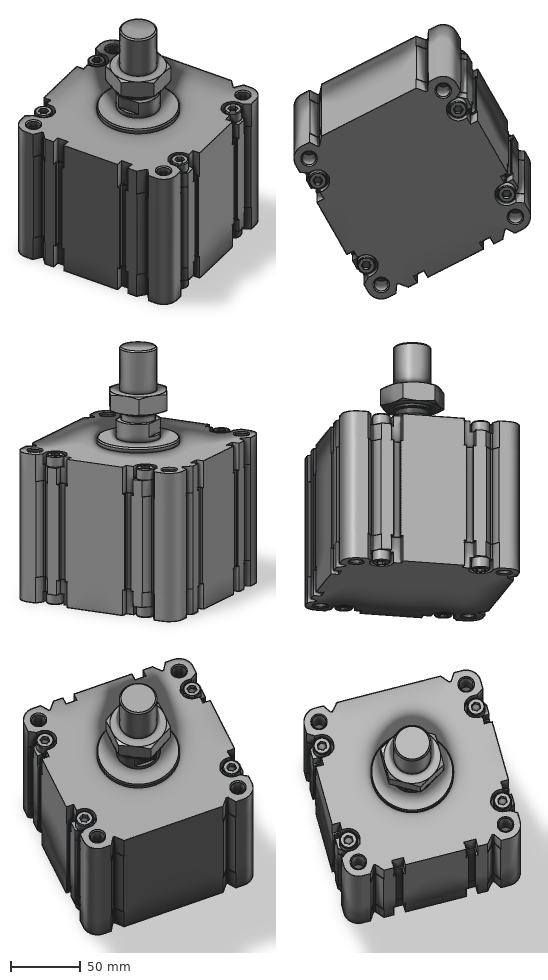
import cadquery as cq
import math


width = 132.0
half_width = width / 2
body_height = 111.3
bottom_cap_height = 19.2
top_cap_height = 20.1
top_seam = body_height - top_cap_height
barrel_height = top_seam - bottom_cap_height

mount_offset = 55.0
corner_radius = half_width - mount_offset
mount_diameter = 10.0
mount_chamfer = 1.0
mount_depth = 22.0

notch_depth = 5.5
notch_floor_outer = 45.0
notch_floor_inner = 43.7
notch_mouth_outer = 48.5
notch_mouth_inner = 39.2
cap_notch_clearance = 0.4

slot_offset = 27.0
cap_slot_width = 8.6
cap_slot_depth = 5.7
tee_mouth_width = 5.1
tee_width = 6.2
tee_depth = 4.5
tee_lip = 1.3

screw_x = 57.6
screw_y = 37.0
counterbore_width = 17.0
counterbore_depth = 8.0
screw_head_diameter = 13.0
screw_head_chamfer = 0.7
screw_hex_flats = 6.0
screw_hex_depth = 4.0

collar_diameter = 60.0
collar_height = 3.8
collar_chamfer = 0.7
collar_chamfer_height = 1.3

rod_top = 183.0
rod_diameter = 32.0
rod_shoulder = 128.6
flats_width = 27.0
flats_bottom = 118.5
neck_diameter = 24.9
thread_bottom = 133.8
thread_diameter = 27.0
thread_chamfer = (thread_diameter - neck_diameter) / 2

nut_bottom = 136.7
nut_height = 13.9
nut_flats = 41.0
nut_bevel_slope = math.tan(math.radians(20))

QUARTER_TURNS = (0, 90, 180, 270)
SLOTTED_SIDES = (0, 90, 270)
SIGNS = (-1, 1)


def corners(x, y):
    """The four points mirrored about both axes."""
    return [(sx * x, sy * y) for sx in SIGNS for sy in SIGNS]


def hexagon_across_flats(flats):
    """Circumscribed diameter of a regular hexagon."""
    return flats / math.cos(math.pi / 6)


def square_block(height):
    return (
        cq.Workplane("XY")
        .rect(width, width)
        .extrude(height)
        .edges("|Z")
        .fillet(corner_radius)
    )


def notch(side, clearance, height):
    """V notch in the -Y face on the given side of the centre (-1 or +1)."""
    face_y = -half_width
    floor_y = face_y + notch_depth + clearance
    points = [
        (side * (notch_mouth_outer + clearance), face_y),
        (side * notch_floor_outer, floor_y),
        (side * notch_floor_inner, floor_y),
        (side * (notch_mouth_inner - clearance), face_y),
    ]
    return cq.Workplane("XY").polyline(points).close().extrude(height)


def channel(side, slot_width, depth, height, start=0):
    """Rectangular channel in the -Y face, from the start depth to the full depth."""
    return (
        cq.Workplane("XY")
        .center(side * slot_offset, -half_width + (start + depth) / 2)
        .rect(slot_width, depth - start)
        .extrude(height)
    )


def turned(tool, angle):
    return tool.rotate((0, 0, 0), (0, 0, 1), angle)


def cut_notches(block, clearance, height):
    for angle in QUARTER_TURNS:
        for side in SIGNS:
            block = block.cut(turned(notch(side, clearance, height), angle))
    return block


def make_barrel():
    barrel = cut_notches(square_block(barrel_height), 0, barrel_height)
    for angle in SLOTTED_SIDES:
        for side in SIGNS:
            mouth = channel(side, tee_mouth_width, tee_depth, barrel_height)
            head = channel(side, tee_width, tee_depth, barrel_height, start=tee_lip)
            barrel = barrel.cut(turned(mouth, angle)).cut(turned(head, angle))
    return barrel.translate((0, 0, bottom_cap_height))


def counterbore(sx):
    """Round-ended pocket, standing on Z = 0, that runs out through the side face."""
    run_out = half_width - screw_x
    bore = cq.Workplane("XY").circle(counterbore_width / 2).extrude(counterbore_depth)
    opening = (
        cq.Workplane("XY")
        .center(sx * run_out / 2, 0)
        .rect(run_out, counterbore_width)
        .extrude(counterbore_depth)
    )
    return bore.union(opening)


def screw_head():
    """Socket head standing on the counterbore floor, level with the cap face."""
    return (
        cq.Workplane("XY")
        .circle(screw_head_diameter / 2)
        .extrude(counterbore_depth)
        .faces(">Z")
        .chamfer(screw_head_chamfer)
        .faces(">Z")
        .workplane()
        .transformed(rotate=(0, 0, 90))
        .polygon(6, hexagon_across_flats(screw_hex_flats))
        .cutBlind(-screw_hex_depth)
    )


def make_cap(cap_height):
    """End cap with its mating face at Z = 0 and its outer face upwards."""
    cap = cut_notches(square_block(cap_height), cap_notch_clearance, cap_height)
    for angle in SLOTTED_SIDES:
        for side in SIGNS:
            slot = channel(side, cap_slot_width, cap_slot_depth, cap_height)
            cap = cap.cut(turned(slot, angle))
    for sx, sy in corners(1, 1):
        seat = (sx * screw_x, sy * screw_y, cap_height - counterbore_depth)
        cap = cap.cut(counterbore(sx).translate(seat)).union(screw_head().translate(seat))
    return cap


def mounting_holes():
    """Blind chamfered holes going down from Z = 0."""
    holes = cq.Workplane("XY").pushPoints(corners(mount_offset, mount_offset))
    holes = holes.circle(mount_diameter / 2).extrude(-mount_depth)
    mouth = (
        cq.Workplane("XY")
        .circle(mount_diameter / 2 + mount_chamfer)
        .extrude(-mount_chamfer, taper=45)
    )
    for x, y in corners(mount_offset, mount_offset):
        holes = holes.union(mouth.translate((x, y, 0)))
    return holes


def collar():
    return (
        cq.Workplane("XY", origin=(0, 0, body_height))
        .circle(collar_diameter / 2)
        .extrude(collar_height)
        .faces(">Z")
        .edges()
        .chamfer(collar_chamfer_height, collar_chamfer)
    )


def make_housing():
    """Caps, barrel and collar in one solid, keeping the seams between them."""
    top_cap = make_cap(top_cap_height).translate((0, 0, top_seam))
    bottom_cap = make_cap(bottom_cap_height).mirror("XY").translate((0, 0, bottom_cap_height))
    housing = make_barrel().union(top_cap, clean=False).union(bottom_cap, clean=False)
    housing = housing.union(collar(), clean=False)

    holes = mounting_holes()
    housing = housing.cut(holes.translate((0, 0, body_height)), clean=False)
    housing = housing.cut(holes.mirror("XY"), clean=False)

    rod_bore = (
        cq.Workplane("XY", origin=(0, 0, top_seam))
        .circle(rod_diameter / 2)
        .extrude(top_cap_height + collar_height)
    )
    return housing.cut(rod_bore, clean=False)


def make_rod():
    """Stepped rod, starting at the upper cap seam, with wrench flats, relief neck and threaded end."""
    shank = (
        cq.Workplane("XY", origin=(0, 0, top_seam))
        .circle(rod_diameter / 2)
        .extrude(rod_shoulder - top_seam)
    )
    flat_depth = (rod_diameter - flats_width) / 2
    for side in SIGNS:
        flat = (
            cq.Workplane("XY", origin=(0, side * (flats_width + flat_depth) / 2, flats_bottom))
            .rect(rod_diameter, flat_depth)
            .extrude(rod_shoulder - flats_bottom)
        )
        shank = shank.cut(flat)
    neck = (
        cq.Workplane("XY", origin=(0, 0, rod_shoulder))
        .circle(neck_diameter / 2)
        .extrude(thread_bottom - rod_shoulder)
    )
    thread = (
        cq.Workplane("XY", origin=(0, 0, thread_bottom))
        .circle(thread_diameter / 2)
        .extrude(rod_top - thread_bottom)
        .faces("<Z or >Z")
        .chamfer(thread_chamfer)
    )
    return shank.union(neck).union(thread)


def make_nut():
    """Hex nut with points towards +Y and -Y and conical bevels on both ends."""
    point_diameter = hexagon_across_flats(nut_flats)
    hexagon = (
        cq.Workplane("XY")
        .transformed(rotate=(0, 0, 90))
        .polygon(6, point_diameter)
        .extrude(nut_height)
    )
    bevel_inner = nut_flats / 2
    bevel_outer = point_diameter / 2
    bevel_height = (bevel_outer - bevel_inner) * nut_bevel_slope
    envelope = (
        cq.Workplane("XZ")
        .polyline([
            (0, 0),
            (bevel_inner, 0),
            (bevel_outer, bevel_height),
            (bevel_outer, nut_height - bevel_height),
            (bevel_inner, nut_height),
            (0, nut_height),
        ])
        .close()
        .revolve(360, (0, 0, 0), (0, 1, 0))
    )
    thread_bore = cq.Workplane("XY").circle(thread_diameter / 2).extrude(nut_height)
    return hexagon.intersect(envelope).cut(thread_bore).translate((0, 0, nut_bottom))


housing = make_housing()
rod = make_rod()
nut = make_nut()

result = cq.Compound.makeCompound([body.solids().val() for body in (housing, rod, nut)])